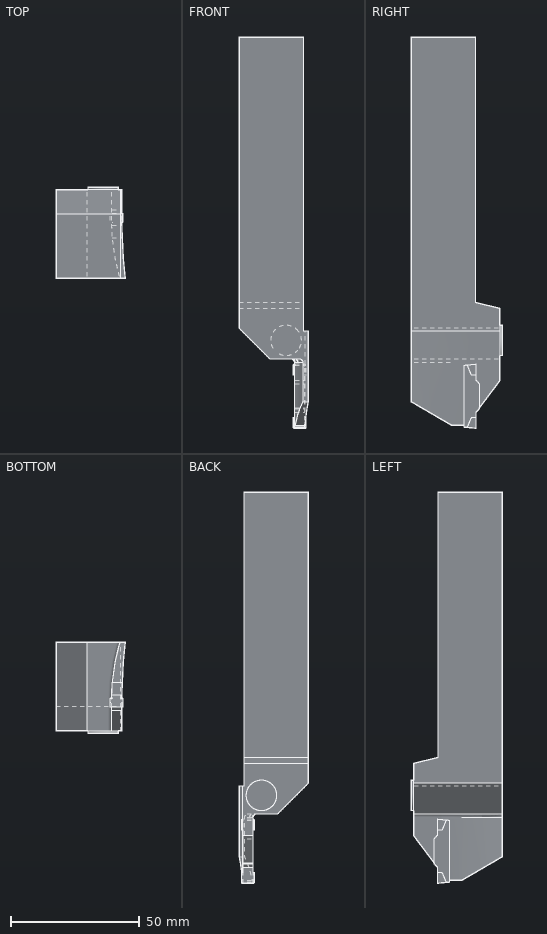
import cadquery as cq

total_length = 152.4
overall_width = 27.0
shank_size = 25.1

head_depth = 34.6
head_rear_top = 46.8
shoulder_top = 49.0
head_bottom = 27.0
chamfer_size = 12.0

screw_diameter = 11.9
screw_height = 35.5 - head_depth
screw_x = 18.3
screw_z = 34.3

blade_top = 38.0
blade_inner_x = 21.5
blade_outer_x = 25.6
blade_inner_front_x = 24.8
curve_start_y = 23.6
blade_rear_z = 18.6
blade_front_z = 10.4
blade_tip_y = 15.7
blade_tip_z = 1.2
root_fillet = 1.2

insert_length = 25.0
insert_front_y = 20.5
insert_rear_y = 25.3
insert_body_width = 4.0
hump_height = 1.3
hump_inset = 6.2
hump_ramp = 1.4
tip_width = 5.0
tip_length = 4.3
tip_front_y = 21.8
tip_shoulder_y = 23.5
end_relief = 0.5
corner_radius = 0.5

insert_center_x = (blade_inner_x + blade_outer_x) / 2
insert_middle_z = insert_length / 2


def prism_along_x(points, x_start, width):
    """Extrude a closed (Y, Z) outline in +X from x_start."""
    return cq.Workplane("YZ", origin=(x_start, 0, 0)).polyline(points).close().extrude(width)


def make_body_block():
    """Square shank with a deeper head and one corner cut at 45 degrees."""
    block = prism_along_x(
        [
            (0, head_bottom),
            (head_depth, head_bottom),
            (head_depth, head_rear_top),
            (shank_size, shoulder_top),
            (shank_size, total_length),
            (0, total_length),
        ],
        0,
        shank_size,
    )
    return block.faces("<Z").edges("<X").chamfer(chamfer_size)


def make_blade():
    """Curved plate trimmed to the pointed side outline."""
    plate = (
        cq.Workplane("XY")
        .moveTo(blade_inner_x, head_depth)
        .lineTo(blade_inner_x, curve_start_y)
        .tangentArcPoint((blade_inner_front_x, 0), relative=False)
        .lineTo(overall_width, 0)
        .threePointArc(outer_arc_middle(), (blade_outer_x, curve_start_y))
        .lineTo(blade_outer_x, head_depth)
        .close()
        .extrude(blade_top)
    )
    outline = prism_along_x(
        [
            (0, blade_front_z),
            (blade_tip_y, blade_tip_z),
            (insert_front_y, blade_tip_z),
            (insert_rear_y, hump_inset),
            (head_depth, blade_rear_z),
            (head_depth, blade_top),
            (0, blade_top),
        ],
        0,
        overall_width,
    )
    return plate.intersect(outline)


def outer_arc_middle():
    """Point on the outer blade arc, which is tangent to Y at curve_start_y."""
    rise = overall_width - blade_outer_x
    radius = (curve_start_y**2 + rise**2) / (2 * rise)
    half = curve_start_y / 2
    return (blade_outer_x + radius - (radius**2 - half**2) ** 0.5, curve_start_y - half)


def make_screw_head():
    return (
        cq.Workplane("XZ", origin=(screw_x, head_depth, screw_z))
        .circle(screw_diameter / 2)
        .extrude(-screw_height)
    )


def insert_body_outline():
    """(Y, Z) outline of the insert, symmetric about its mid-length."""
    lower_half = [
        (insert_front_y, end_relief),
        (insert_rear_y, 0),
        (insert_rear_y, hump_inset),
        (insert_rear_y + hump_height, hump_inset + hump_ramp),
    ]
    upper_half = [(y, insert_length - z) for y, z in reversed(lower_half)]
    return lower_half + upper_half


def tip_relief_z(y):
    """Height of the sloping end face at a given Y."""
    return end_relief * (insert_rear_y - y) / (insert_rear_y - insert_front_y)


def make_insert_tip():
    """Widened cutting tip at the lower end, with rounded cutting corners."""
    tip = prism_along_x(
        [
            (tip_front_y, tip_relief_z(tip_front_y)),
            (insert_rear_y, 0),
            (insert_rear_y, tip_length),
            (tip_shoulder_y, tip_length),
        ],
        insert_center_x - tip_width / 2,
        tip_width,
    )
    return tip.faces("<Z").edges("<X or >X").fillet(corner_radius)


def make_insert():
    body = prism_along_x(
        insert_body_outline(), insert_center_x - insert_body_width / 2, insert_body_width
    )
    body = body.faces("<Z or >Z").edges("<X or >X").fillet(corner_radius)
    tip = make_insert_tip()
    opposite_tip = tip.mirror("XY", (0, 0, insert_middle_z))
    return body.union(tip).union(opposite_tip)


def make_holder():
    holder = make_body_block().union(make_blade())
    root_edge = cq.selectors.BoxSelector(
        (blade_inner_x - root_fillet, -1.5, head_bottom - root_fillet),
        (blade_inner_front_x + root_fillet, head_depth + 1.5, head_bottom + root_fillet),
        boundingbox=True,
    )
    holder = holder.edges(root_edge).fillet(root_fillet)
    pocket = prism_along_x(insert_body_outline(), 0, overall_width)
    return holder.cut(pocket).union(make_screw_head())


insert = make_insert()
holder = make_holder()

result = cq.Compound.makeCompound([*holder.solids().vals(), *insert.solids().vals()])